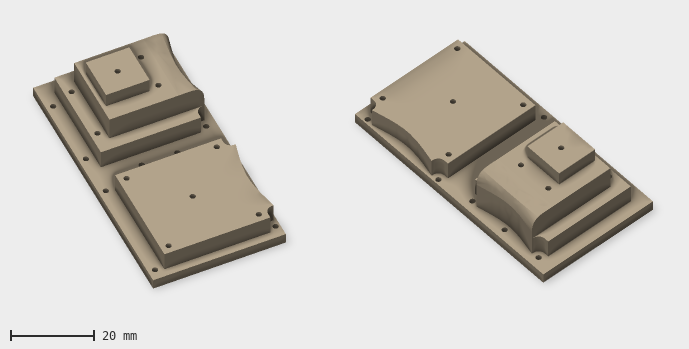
import cadquery as cq

plate_length = 68.0
plate_width = 35.0
plate_height = 3.0
hole_diameter = 1.5

pad_top = 8.35
pad_front = 3.95
left_center = 16.7
left_size = 26.4
left_tongue_width = 20.0
left_back = 32.7
left_sag = 1.6
right_center = 51.95
right_size = 27.95
right_tongue_width = 21.55
right_back = 34.3
right_sag = 1.85
notch_radius = 2.0

tower_front = 7.7
tower_top = 15.1
rounding_start = 25.9
rounding_bottom = 10.95
crest_back = 30.75
crest_sag = 0.6
crest_side_z = 14.8
crest_middle_z = 13.5
crest_fall = 0.4

block_size = 11.5
block_front = 8.8
block_top = 19.1

tongue_hole_y = 32.6
tower_hole_spacing = 9.85
tower_hole_y = 23.0
ledge_hole_spacing = 14.6
ledge_hole_y = 5.8
edge_hole_y = 1.85
edge_hole_xs = (7.4, 26.0, 37.25, 65.15)
middle_hole_x = 33.4
middle_hole_ys = (13.1, 22.5)
right_hole_spacing = 23.8

end_slope_ratio = 1.4


def box(x_center, width, front, back, bottom, top):
    return cq.Workplane("XY").box(width, back - front, top - bottom, centered=False).translate(
        (x_center - width / 2, front, bottom)
    )


def concave_curve(center, width, back, sag, end_z, middle_z):
    """Symmetric curve across the part, dipping forward by sag at its middle."""
    half = width / 2
    slope = end_slope_ratio / half
    forward = slope * sag
    drop = slope * (end_z - middle_z)
    return cq.Edge.makeSpline(
        [
            cq.Vector(center - half, back, end_z),
            cq.Vector(center, back - sag, middle_z),
            cq.Vector(center + half, back, end_z),
        ],
        tangents=[cq.Vector(1, -forward, -drop), cq.Vector(1, forward, drop)],
    )


def concave_block(center, width, front, back, sag, bottom, top):
    """Block with straight front and sides and a concave back."""
    curve = concave_curve(center, width, back, sag, bottom, bottom)
    left = center - width / 2
    right = center + width / 2
    sides = cq.Wire.makePolygon(
        [
            cq.Vector(right, back, bottom),
            cq.Vector(right, front, bottom),
            cq.Vector(left, front, bottom),
            cq.Vector(left, back, bottom),
        ]
    )
    outline = cq.Wire.assembleEdges([curve] + sides.Edges())
    return cq.Workplane(obj=cq.Solid.extrudeLinear(outline, [], cq.Vector(0, 0, top - bottom)))


def notch_points(center, size, tongue_width):
    offset = tongue_width / 2 + notch_radius
    y = pad_front + size + notch_radius
    return [(center - offset, y), (center + offset, y)]


def pad(center, size, tongue_width, back, sag):
    """Square pad with a tongue blended into it by arcs around the two notch holes."""
    shoulder = pad_front + size
    notches = notch_points(center, size, tongue_width)
    body = box(center, size, pad_front, shoulder, plate_height, pad_top)
    tongue = concave_block(center, tongue_width, pad_front, back, sag, plate_height, pad_top)
    return body.union(tongue).union(notch_webs(notches, center, shoulder))


def notch_webs(notches, center, shoulder):
    """Quarter-round fillets filling the corners between shoulder and tongue."""
    webs = cq.Workplane("XY")
    for x, y in notches:
        inward = notch_radius if x < center else -notch_radius
        corner = box(x + inward / 2, notch_radius, shoulder, y, plate_height, pad_top)
        round_cut = (
            cq.Workplane("XY", origin=(x, y, plate_height)).circle(notch_radius).extrude(pad_top - plate_height)
        )
        webs = webs.add(corner.cut(round_cut))
    return webs.combine()


def side_profile(x):
    """Rounded side edge in two pieces, split at the crest."""
    start = cq.Vector(x, rounding_start, tower_top)
    crest = cq.Vector(x, crest_back, crest_side_z)
    end = cq.Vector(x, left_back, rounding_bottom)
    slope = cq.Vector(0, 1, -crest_fall)
    upper = cq.Edge.makeSpline([start, crest], tangents=[cq.Vector(0, 1, 0), slope])
    lower = cq.Edge.makeSpline([crest, end], tangents=[slope, cq.Vector(0, 0, -1)])
    return upper, lower


def rounded_cap():
    """Back of the tower above the vertical wall: two freeform patches closed by flat faces."""
    left = left_center - left_tongue_width / 2
    right = left + left_tongue_width
    top_edge = cq.Edge.makeLine(
        cq.Vector(left, rounding_start, tower_top), cq.Vector(right, rounding_start, tower_top)
    )
    crest = concave_curve(left_center, left_tongue_width, crest_back, crest_sag, crest_side_z, crest_middle_z)
    wall_edge = concave_curve(
        left_center, left_tongue_width, left_back, left_sag, rounding_bottom, rounding_bottom
    )
    base_edge = cq.Edge.makeLine(
        cq.Vector(left, rounding_start, rounding_bottom), cq.Vector(right, rounding_start, rounding_bottom)
    )
    left_upper, left_lower = side_profile(left)
    right_upper, right_lower = side_profile(right)
    faces = [
        cq.Face.makeNSidedSurface([top_edge, left_upper, crest, right_upper], []),
        cq.Face.makeNSidedSurface([crest, left_lower, wall_edge, right_lower], []),
    ]
    front_edges = [top_edge, base_edge]
    base_edges = [base_edge, wall_edge]
    for x, upper, lower in ((left, left_upper, left_lower), (right, right_upper, right_lower)):
        upright = cq.Edge.makeLine(
            cq.Vector(x, rounding_start, rounding_bottom), cq.Vector(x, rounding_start, tower_top)
        )
        floor = cq.Edge.makeLine(
            cq.Vector(x, rounding_start, rounding_bottom), cq.Vector(x, left_back, rounding_bottom)
        )
        front_edges.append(upright)
        base_edges.append(floor)
        faces.append(cq.Face.makeFromWires(cq.Wire.combine([upright, upper, lower, floor])[0]))
    faces.append(cq.Face.makeFromWires(cq.Wire.combine(front_edges)[0]))
    faces.append(cq.Face.makeFromWires(cq.Wire.combine(base_edges)[0]))
    return cq.Workplane(obj=cq.Solid.makeSolid(cq.Shell.makeShell(faces)).fix())


def tower():
    lower = concave_block(
        left_center, left_tongue_width, tower_front, left_back, left_sag, pad_top, rounding_bottom
    )
    upper = box(left_center, left_tongue_width, tower_front, rounding_start, rounding_bottom, tower_top)
    block = box(left_center, block_size, block_front, block_front + block_size, tower_top, block_top)
    return lower.union(upper).union(rounded_cap()).union(block)


def mirrored_pair(center, spacing, y):
    return [(center - spacing / 2, y), (center + spacing / 2, y)]


def hole_points():
    right_middle_y = pad_front + right_size / 2
    points = notch_points(left_center, left_size, left_tongue_width)
    points += notch_points(right_center, right_size, right_tongue_width)
    points += [(left_center, tongue_hole_y), (left_center, block_front + block_size / 2)]
    points += mirrored_pair(left_center, tower_hole_spacing, tower_hole_y)
    points += mirrored_pair(left_center, ledge_hole_spacing, ledge_hole_y)
    points += [(x, edge_hole_y) for x in edge_hole_xs]
    points += [(middle_hole_x, y) for y in middle_hole_ys]
    points.append((right_center, right_middle_y))
    for side in (-1, 1):
        row_y = right_middle_y + side * right_hole_spacing / 2
        points += mirrored_pair(right_center, right_hole_spacing, row_y)
    return points


plate = box(plate_length / 2, plate_length, 0, plate_width, 0, plate_height)
body = (
    plate.union(pad(left_center, left_size, left_tongue_width, left_back, left_sag))
    .union(pad(right_center, right_size, right_tongue_width, right_back, right_sag))
    .union(tower())
)
holes = cq.Workplane("XY").pushPoints(hole_points()).circle(hole_diameter / 2).extrude(block_top)
result = body.cut(holes)